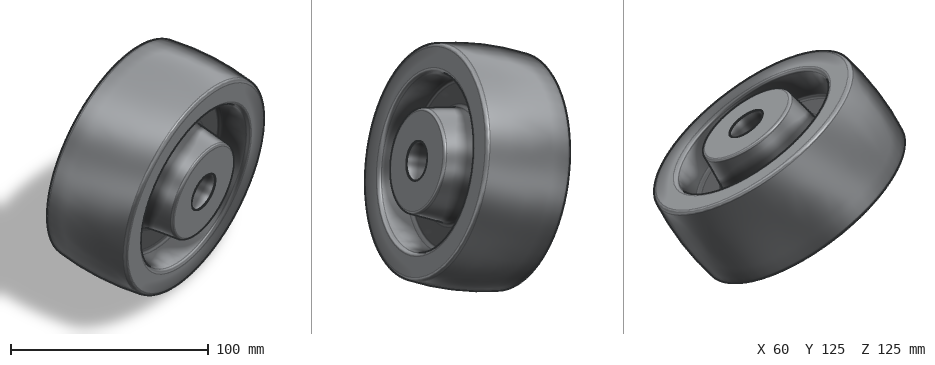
import cadquery as cq
import math


wheel_radius = 62.5
tread_half_width = 25.0
crown_radius = 150.0
rim_edge_fillet = 2.0

hub_half_length = 30.0
hub_face_radius = 27.0
hub_edge_fillet = 1.5
bore_radius = 10.0
bore_chamfer = 0.3

web_half_thickness = 8.0
rim_inner_radius = 46.25
recess_fillet = 2.0
draft_angle = 7.0

position_tolerance = 0.001


def draft_offset(depth):
    """Radial shift of a drafted wall over an axial depth."""
    return depth * math.tan(math.radians(draft_angle))


def wheel_profile():
    """Half section of the wheel, filled to the axis, with sharp corners."""
    crown_drop = crown_radius - math.sqrt(crown_radius**2 - tread_half_width**2)
    tread_edge_radius = wheel_radius - crown_drop
    hub_root_radius = hub_face_radius + draft_offset(hub_half_length - web_half_thickness)
    rim_root_radius = rim_inner_radius - draft_offset(tread_half_width - web_half_thickness)
    return (
        cq.Workplane("XZ")
        .moveTo(-hub_half_length, 0)
        .lineTo(-hub_half_length, hub_face_radius)
        .lineTo(-web_half_thickness, hub_root_radius)
        .lineTo(-web_half_thickness, rim_root_radius)
        .lineTo(-tread_half_width, rim_inner_radius)
        .lineTo(-tread_half_width, tread_edge_radius)
        .threePointArc((0, wheel_radius), (tread_half_width, tread_edge_radius))
        .lineTo(tread_half_width, rim_inner_radius)
        .lineTo(web_half_thickness, rim_root_radius)
        .lineTo(web_half_thickness, hub_root_radius)
        .lineTo(hub_half_length, hub_face_radius)
        .lineTo(hub_half_length, 0)
        .close()
    )


def circular_edges(body, axial_position):
    """Circular edges at one axial distance either side of centre."""
    def matches(edge):
        at_position = math.isclose(abs(edge.Center().x), axial_position, abs_tol=position_tolerance)
        return edge.geomType() == "CIRCLE" and at_position

    return body.edges().filter(matches)


def bore_cutter():
    """Through bore with a small chamfer at both hub faces."""
    mouth_radius = bore_radius + bore_chamfer
    return (
        cq.Workplane("XZ")
        .moveTo(-hub_half_length, 0)
        .lineTo(-hub_half_length, mouth_radius)
        .lineTo(bore_chamfer - hub_half_length, bore_radius)
        .lineTo(hub_half_length - bore_chamfer, bore_radius)
        .lineTo(hub_half_length, mouth_radius)
        .lineTo(hub_half_length, 0)
        .close()
        .revolve(360, (0, 0, 0), (1, 0, 0))
    )


wheel = wheel_profile().revolve(360, (0, 0, 0), (1, 0, 0))
wheel = circular_edges(wheel, hub_half_length).fillet(hub_edge_fillet)
wheel = circular_edges(wheel, web_half_thickness).fillet(recess_fillet)
wheel = circular_edges(wheel, tread_half_width).fillet(rim_edge_fillet)
result = wheel.cut(bore_cutter())